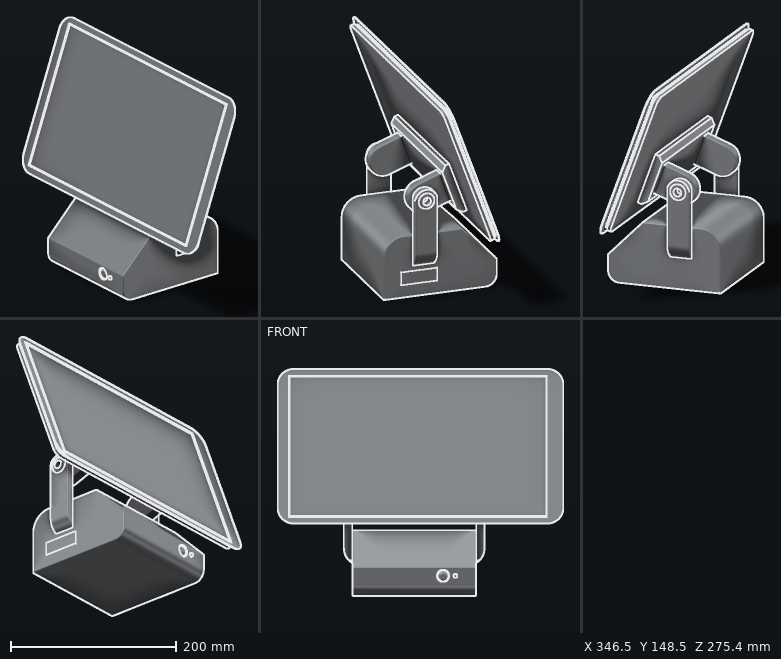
import cadquery as cq
import math


base_width = 150.0
base_depth = 146.0
base_height = 80.0
base_slope = 45.5
base_back_radius = 25.0
base_toe_radius = 15.0
slope_edge_round = 0.7
base_side_round = 1.7
edge_round = 2.0
label_length = 46.5
label_height = 16.5
label_depth = 3.5
label_back_gap = 22.0
label_bottom = 17.0

arm_thickness = 10.5
arm_width = 29.0
arm_foot_radius = 20.0
arm_foot_start = 58.0
hinge_y = 95.2
hinge_z = 126.0
boss_diameter = 20.0
boss_height = 2.0
hinge_hole_diameter = 10.0

tilt = 20.0
ear_radius = 20.0
ear_thickness = 15.0
mount_back = 30.0
mount_thickness = 11.8
mount_height = 67.2
mount_side_margin = 14.0
mount_chamfer = 6.5

plate_width = 328.3
plate_height = 188.5
plate_thickness = 5.0
plate_corner_radius = 11.0
plate_gap = 1.7
window_width = 310.5
window_height = 180.0
bezel_width = 346.5
bezel_height = 199.5
bezel_thickness = 1.0
bezel_corner_radius = 20.0
tray_thickness = 2.0
tray_wall = 1.0
display_recess = 2.0
screen_rise = 40.5
display_x = 4.5
bezel_x = 7.5

control_z = 24.5
button_x = 35.0
button_bore_diameter = 15.0
button_diameter = 13.0
button_flat_diameter = 5.0
button_height = 1.0
button_length = 7.0
lamp_x = 50.0
lamp_diameter = 5.0
lamp_height = 2.5
lamp_length = 5.0
lamp_round = 2.0

plate_back = mount_back + mount_thickness
tray_back = plate_back + plate_thickness + plate_gap
bezel_back = tray_back + tray_thickness
bezel_front = bezel_back + bezel_thickness


def screen_plane(distance, x=0.0, rise=0.0):
    """Plane parallel to the screen, `distance` in front of the hinge axis and `rise` up along it."""
    angle = math.radians(tilt)
    y = hinge_y - distance * math.cos(angle) + rise * math.sin(angle)
    z = hinge_z + distance * math.sin(angle) + rise * math.cos(angle)
    return cq.Plane(origin=(x, y, z), xDir=(1, 0, 0), normal=(0, -math.cos(angle), math.sin(angle)))


def front_peg(x, diameter, length, height, rounding):
    """Round peg set into the front face, standing out by `height` with a rounded end."""
    inner_y = length - height
    return (
        cq.Workplane("XZ", origin=(x, inner_y, control_z))
        .circle(diameter / 2)
        .extrude(length)
        .faces("<Y")
        .edges()
        .fillet(rounding)
    )


def front_bore(x, diameter, depth):
    return cq.Workplane("XZ", origin=(x, depth, control_z)).circle(diameter / 2).extrude(depth)


def make_label():
    """Flush plate let into the left side of the base."""
    back_y = base_depth - label_back_gap
    return cq.Workplane("XY").box(label_depth, label_length, label_height, centered=False).translate(
        (-base_width / 2, back_y - label_length, label_bottom)
    )


def make_base():
    body = (
        cq.Workplane("YZ", origin=(-base_width / 2, 0, 0))
        .polyline([
            (0, 0),
            (base_depth, 0),
            (base_depth, base_height),
            (base_slope, base_height),
            (0, base_height - base_slope),
        ])
        .close()
        .extrude(base_width)
    )
    body = body.edges("|X and >Y and >Z").fillet(base_back_radius)
    body = body.edges("|X and <Y and <Z").fillet(base_toe_radius)
    slope_top = (0, base_slope, base_height)
    slope_bottom = (0, 0, base_height - base_slope)
    for corner in (slope_top, slope_bottom):
        body = body.edges(cq.NearestToPointSelector(corner)).fillet(slope_edge_round)
    body = body.faces("<X or >X").edges().fillet(base_side_round)
    return (
        body.cut(make_label())
        .cut(front_bore(button_x, button_bore_diameter, button_length - button_height))
        .cut(front_bore(lamp_x, lamp_diameter, lamp_length - lamp_height))
    )


def make_arm(side):
    """Arm beside the base: side is -1 for the left arm and 1 for the right one."""
    inner_x = base_width / 2
    outer_x = inner_x + arm_thickness
    head_z = hinge_z + arm_width / 2
    foot_center_x = outer_x - arm_foot_radius

    def foot_point(x):
        return (x, arm_foot_start - math.sqrt(arm_foot_radius**2 - (x - foot_center_x) ** 2))

    blank = (
        cq.Workplane("XZ", origin=(0, hinge_y + arm_width / 2, 0))
        .moveTo(inner_x, head_z)
        .lineTo(outer_x, head_z)
        .lineTo(outer_x, arm_foot_start)
        .threePointArc(foot_point(inner_x + arm_thickness / 2), foot_point(inner_x))
        .close()
        .extrude(arm_width)
        .faces("<Y or >Y")
        .edges("not >Z")
        .fillet(edge_round)
    )
    shank = cq.Workplane("XY", origin=(inner_x, hinge_y - arm_width / 2, 0)).box(
        arm_thickness, arm_width, hinge_z, centered=False
    )
    hinge_plane = cq.Workplane("YZ", origin=(inner_x, hinge_y, hinge_z))
    head = hinge_plane.circle(arm_width / 2).extrude(arm_thickness)
    boss = (
        hinge_plane.workplane(offset=arm_thickness)
        .circle(boss_diameter / 2)
        .extrude(boss_height)
        .faces(">X")
        .edges()
        .fillet(boss_height * 0.99)
    )
    hole = hinge_plane.circle(hinge_hole_diameter / 2).extrude(arm_thickness + boss_height)
    arm = blank.intersect(shank.union(head)).union(boss).cut(hole)
    return arm if side > 0 else arm.mirror("YZ")


def make_ear(side):
    """Hinge ear, round about the hinge axis, reaching forward to the mount plate."""
    outer_x = side * base_width / 2
    inner_x = outer_x - side * ear_thickness
    ear = (
        cq.Workplane(screen_plane(0, x=(outer_x + inner_x) / 2))
        .box(ear_thickness, 2 * ear_radius, mount_back, centered=(True, True, False))
    )
    round_end = (
        cq.Workplane("YZ", origin=(min(outer_x, inner_x), hinge_y, hinge_z))
        .circle(ear_radius)
        .extrude(ear_thickness)
    )
    return ear.union(round_end)


def make_mount():
    plate_width = base_width + 2 * mount_side_margin
    mount = (
        cq.Workplane(screen_plane(plate_back))
        .rect(plate_width, mount_height)
        .extrude(-mount_thickness)
        .faces(cq.DirectionMinMaxSelector(screen_plane(0).zDir, False))
        .edges("|X")
        .chamfer(mount_chamfer)
    )
    for side in (-1, 1):
        mount = mount.union(make_ear(side))
    outer_x = base_width / 2
    for side_x in (outer_x, outer_x - ear_thickness):
        for x in (side_x, -side_x):
            point = (x, hinge_y, hinge_z)
            mount = mount.faces(cq.NearestToPointSelector(point)).edges().fillet(edge_round)
    return mount


def make_back_plate():
    return (
        cq.Workplane(screen_plane(plate_back, display_x, screen_rise))
        .sketch()
        .rect(plate_width, plate_height)
        .vertices()
        .fillet(plate_corner_radius)
        .finalize()
        .extrude(plate_thickness)
    )


def make_screen():
    """Thin bezel with a tray behind its window, so that the display face lies recessed."""
    bezel = (
        cq.Workplane(screen_plane(bezel_back, bezel_x, screen_rise))
        .sketch()
        .rect(bezel_width, bezel_height)
        .vertices()
        .fillet(bezel_corner_radius)
        .finalize()
        .extrude(bezel_thickness)
    )
    tray = (
        cq.Workplane(screen_plane(tray_back, display_x, screen_rise))
        .rect(window_width + 2 * tray_wall, window_height + 2 * tray_wall)
        .extrude(tray_thickness)
    )
    recess = (
        cq.Workplane(screen_plane(bezel_front, display_x, screen_rise))
        .rect(window_width, window_height)
        .extrude(-display_recess)
    )
    return bezel.union(tray).cut(recess)


base = make_base()
arms = [make_arm(side) for side in (-1, 1)]
mount = make_mount()
back_plate = make_back_plate()
screen = make_screen()
label = make_label()
button = front_peg(
    button_x, button_diameter, button_length, button_height, (button_diameter - button_flat_diameter) / 2
)
lamp = front_peg(lamp_x, lamp_diameter, lamp_length, lamp_height, lamp_round)

result = cq.Compound.makeCompound([
    base.val(),
    *[arm.val() for arm in arms],
    mount.val(),
    back_plate.val(),
    screen.val(),
    label.val(),
    button.val(),
    lamp.val(),
])